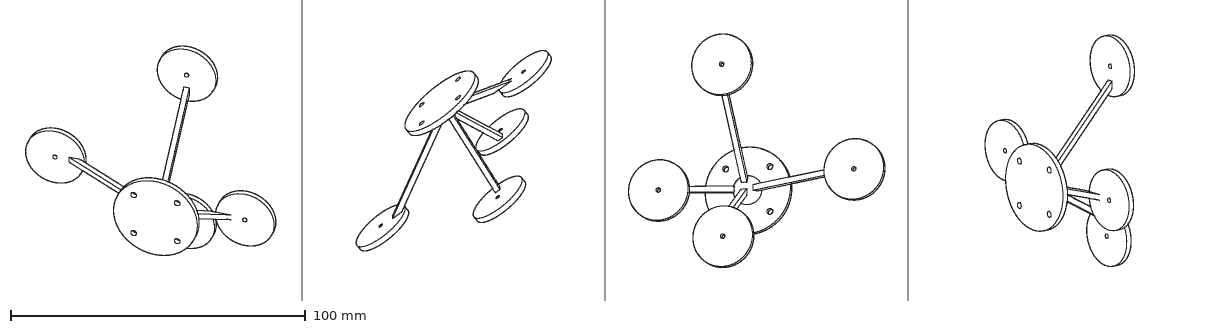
import cadquery as cq
import math

BASE_DIAMETER = 30.0
PLATE_THICKNESS = 2.0
MOUNT_CIRCLE_DIAMETER = 22.0
MOUNT_HOLE_DIAMETER = 2.0
MOUNT_HOLE_COUNT = 4
MOUNT_START_ANGLE = 45.0

HUB_RADIUS = 5.0

PAD_DIAMETER = 21.0
PAD_HOLE_DIAMETER = 1.5
PAD_OVERHANG = 5.0

ARM_WIDTH = 2.0

ARMS = [
    (0.0, 15.0, 25.0),
    (90.0, 45.0, 45.0),
    (180.0, 30.0, 45.0),
    (270.0, 60.0, 35.0),
]


def plate(diameter, front_y):
    """Round plate of the common thickness, from front_y towards +Y."""
    front_plane = cq.Workplane("XZ", origin=(0, front_y, 0))
    return front_plane.circle(diameter / 2).extrude(-PLATE_THICKNESS)


def make_base():
    holes = (
        cq.Workplane("XZ")
        .polarArray(MOUNT_CIRCLE_DIAMETER / 2, MOUNT_START_ANGLE, 360, MOUNT_HOLE_COUNT)
        .circle(MOUNT_HOLE_DIAMETER / 2)
        .extrude(-PLATE_THICKNESS)
    )
    return plate(BASE_DIAMETER, 0).cut(holes)


def make_hub():
    """Half ball centred on the back face of the base plate."""
    return (
        cq.Workplane("XY")
        .moveTo(0, PLATE_THICKNESS)
        .lineTo(HUB_RADIUS, PLATE_THICKNESS)
        .radiusArc((0, PLATE_THICKNESS + HUB_RADIUS), -HUB_RADIUS)
        .close()
        .revolve(360, (0, 0, 0), (0, 1, 0))
    )


def make_arm_with_pad(direction, rise_angle, length):
    """Arm from the hub centre with its pad, built along +X and then turned about Y."""
    rise = math.radians(rise_angle)
    tip_x = length * math.cos(rise)
    pad_y = PLATE_THICKNESS + length * math.sin(rise)

    root_height = ARM_WIDTH / math.cos(rise)
    tip_width = ARM_WIDTH / math.sin(rise)
    arm = (
        cq.Workplane("XY")
        .moveTo(0, PLATE_THICKNESS)
        .lineTo(tip_x, pad_y)
        .lineTo(tip_x - tip_width, pad_y)
        .lineTo(0, PLATE_THICKNESS + root_height)
        .close()
        .extrude(ARM_WIDTH / 2, both=True)
    )

    pad = plate(PAD_DIAMETER, pad_y).cut(plate(PAD_HOLE_DIAMETER, pad_y))
    pad = pad.translate((tip_x + PAD_OVERHANG, 0, 0))

    return arm.union(pad).rotate((0, 0, 0), (0, 1, 0), -direction)


result = make_base().union(make_hub())
for arm_direction, arm_rise, arm_length in ARMS:
    result = result.union(make_arm_with_pad(arm_direction, arm_rise, arm_length))